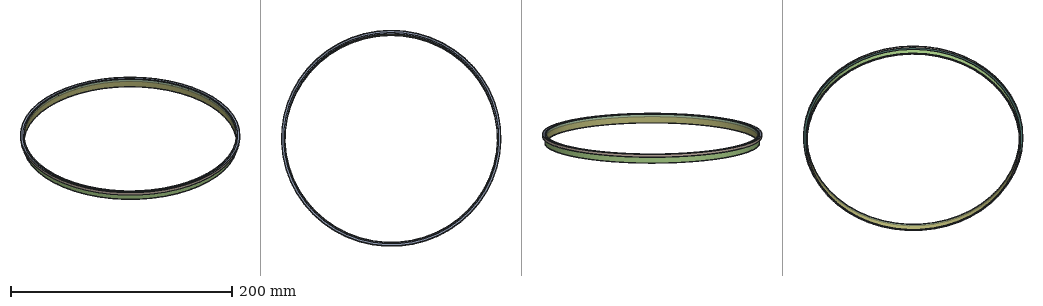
import cadquery as cq

bore_diameter = 192.0
sleeve_diameter = 194.5
cap_diameter = 198.5
total_height = 8.4
lip_thickness = 0.4
cap_height = 2.6

sleeve_height = total_height - lip_thickness
cap_base_z = total_height - cap_height


def ring(outer_diameter, inner_diameter, base_z, top_z):
    """Plain ring around the Z axis between two heights."""
    return (
        cq.Workplane("XY", origin=(0, 0, base_z))
        .circle(outer_diameter / 2)
        .circle(inner_diameter / 2)
        .extrude(top_z - base_z)
    )


def make_sleeve():
    """Thin-walled ring whose top end sits under the lip of the cap ring.

    Its walls keep a seam line where the part outside the cap ring meets the part inside it.
    """
    exposed = ring(sleeve_diameter, bore_diameter, 0, cap_base_z)
    covered = ring(sleeve_diameter, bore_diameter, cap_base_z, sleeve_height)
    return exposed.union(covered, clean=False).solids()


def make_cap_ring():
    """L-section ring: a rim around the sleeve and a thin lip over its top end."""
    rim = ring(cap_diameter, sleeve_diameter, cap_base_z, total_height)
    lip = ring(cap_diameter, bore_diameter, sleeve_height, total_height)
    return rim.union(lip).solids()


sleeve = make_sleeve()
cap_ring = make_cap_ring()

result = cq.Compound.makeCompound([sleeve.val(), cap_ring.val()])